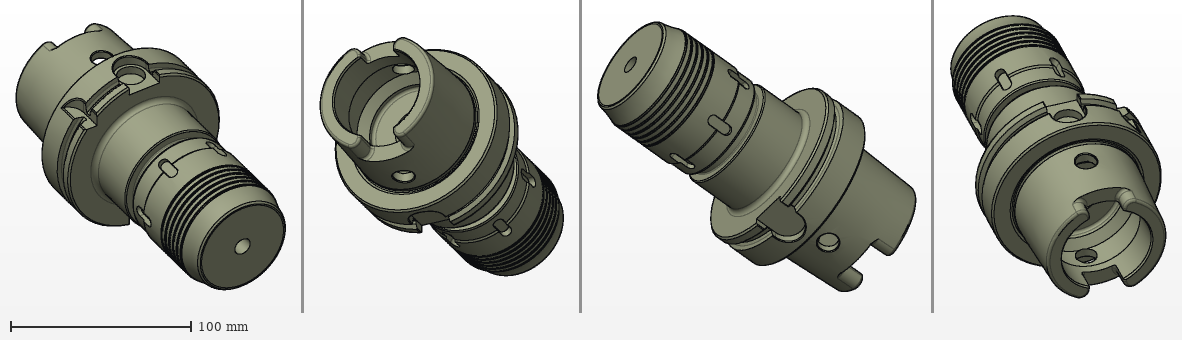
import cadquery as cq
import math

FLANGE_START = 50.0
FLANGE_END = 78.8
TAPER_START_RADIUS = 35.1
TAPER_END_RADIUS = 37.5
TAPER_END = 48.2
RELIEF_RADIUS = 37.0
FACE_RECESS_RADIUS = 39.5
FACE_RECESS_FLOOR_RADIUS = 38.0
FACE_RECESS_DEPTH = 0.9
SHANK_RIM_FILLET = 1.6

CAVITY_MOUTH_DIAMETER = 53.0
CAVITY_DIAMETER = 52.5
CLAMP_GROOVE_DIAMETER = 63.0
CLAMP_GROOVE_START = 20.0
CLAMP_GROOVE_END = 40.7
CAVITY_DEPTH = 50.0
CAVITY_MOUTH_CHAMFER = 0.5
CAVITY_MOUTH_CHAMFER_LENGTH = 1.5
CAVITY_FLOOR_FILLET = 1.8
SOCKET_MOUTH_DIAMETER = 24.8
SOCKET_DIAMETER = 21.0
SOCKET_CONE_DEPTH = 1.8
SOCKET_DEPTH = 10.8
BORE_DIAMETER = 10.0

DRIVE_SLOT_WIDTH = 20.0
DRIVE_SLOT_FLARE = 5.0
DRIVE_SLOT_FILLET = 1.8
TOP_SLOT_DEPTH = 9.9
BOTTOM_SLOT_DEPTH = 14.8
CROSS_HOLE_DIAMETER = 12.0
CROSS_HOLE_X = 35.0
CROSS_HOLE_CHAMFER = 0.5

FLANGE_RADIUS = 50.0
FLANGE_CHAMFER = 1.0
GRIP_GROOVE_RADIUS = 45.7
GRIP_GROOVE_START = 67.0
GRIP_GROOVE_END = 73.3
GRIP_FLOOR_START = 68.4
GRIP_FLOOR_END = 71.3
GRIP_KNEE_RADIUS = 47.5
GRIP_KNEE_START = 67.5
GRIP_KNEE_END = 71.6
KEYWAY_WIDTH = 20.0
KEYWAY_END_X = 64.8
KEYWAY_FLOOR = 44.0
CORNER_NOTCH_OFFSET = 31.3
KEYWAY_CHAMFER = 0.5
CODE_HOLE_DIAMETER = 16.0
CODE_HOLE_DEPTH = 5.0

COLLAR_RADIUS = 32.4
COLLAR_END = 109.8
COLLAR_CHAMFER = 0.7
ROOT_FILLET = 3.0
NECK_RADIUS = 27.0
NECK_FILLET = 0.5

NUT_START = 115.4
NUT_END = 180.0
NUT_REAR_RADIUS = 31.5
NUT_RADIUS = 32.4
NUT_STEP_START = 127.3
NUT_STEP_END = 128.5
NUT_REAR_CHAMFER = 0.5
NUT_REAR_CHAMFER_LENGTH = 1.0
NOSE_START = 166.5
NOSE_MIDDLE_X = 172.6
NOSE_MIDDLE_RADIUS = 30.2
NOSE_END_RADIUS = 29.0
NOSE_CHAMFER = 1.0

WRENCH_SLOT_COUNT = 6
WRENCH_SLOT_LENGTH = 16.2
WRENCH_SLOT_WIDTH = 6.1
WRENCH_SLOT_X = 128.2
WRENCH_SLOT_FLOOR = 28.6

GRIP_RING_COUNT = 6
GRIP_RING_START = 146.3
GRIP_RING_PITCH = 4.0
GRIP_RING_WIDTH = 1.0
GRIP_RING_DEPTH = 0.5

CLEAR = 9.0
TOLERANCE = 0.02


def revolve_about_x(profile):
    """Turn a closed XY profile (X along the axis, Y the radius) about the X axis."""
    return profile.close().revolve(360, (0, 0, 0), (1, 0, 0))


def bar(start, end, radius):
    return cq.Workplane("YZ", origin=(start, 0, 0)).circle(radius).extrude(end - start)


def tapered_bar(start, end, start_radius, end_radius):
    outline = cq.Workplane("XY").moveTo(start, 0).lineTo(start, start_radius).lineTo(end, end_radius)
    return revolve_about_x(outline.lineTo(end, 0))


def edge_radius(edge):
    """Distance of the middle of an edge from the X axis."""
    middle = edge.positionAt(0.5)
    return math.hypot(middle.y, middle.z)


def shank():
    recess_floor = FLANGE_START + FACE_RECESS_DEPTH
    return revolve_about_x(
        cq.Workplane("XY")
        .moveTo(0, 0)
        .lineTo(0, TAPER_START_RADIUS)
        .lineTo(TAPER_END, TAPER_END_RADIUS)
        .lineTo(TAPER_END + (TAPER_END_RADIUS - RELIEF_RADIUS), RELIEF_RADIUS)
        .lineTo(recess_floor, RELIEF_RADIUS)
        .lineTo(recess_floor, 0)
    )


def drive_slot(depth):
    """Cutter for a slot across the wall at the top of the shank's open end."""
    box = cq.Workplane("XY").box(depth + CLEAR, DRIVE_SLOT_WIDTH, FLANGE_RADIUS, centered=(False, True, False))
    return box.translate((-CLEAR, 0, 0))


def is_slot_rim(edge):
    """True where a drive slot wall meets the taper."""
    middle = edge.positionAt(0.5)
    on_wall = abs(abs(middle.y) - DRIVE_SLOT_WIDTH / 2) < TOLERANCE
    return on_wall and 0 < middle.x < BOTTOM_SLOT_DEPTH and edge_radius(edge) > CAVITY_MOUTH_DIAMETER / 2


def is_slot_corner(edge):
    """True where the floor of a drive slot meets the slot wall or its flare."""
    middle = edge.positionAt(0.5)
    on_floor = min(abs(middle.x - TOP_SLOT_DEPTH), abs(middle.x - BOTTOM_SLOT_DEPTH)) < TOLERANCE
    inside_taper = edge_radius(edge) < TAPER_START_RADIUS - TOLERANCE
    return on_floor and inside_taper and abs(middle.y) > DRIVE_SLOT_WIDTH / 2 - TOLERANCE


def cross_hole():
    """Cutter for the hole through both walls of the shank."""
    hole = cq.Workplane("XY", origin=(CROSS_HOLE_X, 0, 0))
    return hole.circle(CROSS_HOLE_DIAMETER / 2).extrude(FLANGE_RADIUS, both=True)


def is_cross_hole_rim(edge):
    """True where the cross hole comes out through the taper."""
    middle = edge.positionAt(0.5)
    near_hole = math.hypot(middle.x - CROSS_HOLE_X, middle.y) < CROSS_HOLE_DIAMETER / 2 + TOLERANCE
    return near_hole and edge.geomType() != "LINE"


def slotted_shank():
    body = shank().cut(drive_slot(TOP_SLOT_DEPTH))
    body = body.cut(drive_slot(BOTTOM_SLOT_DEPTH).rotate((0, 0, 0), (1, 0, 0), 180))
    body = body.edges().filter(is_slot_rim).fillet(DRIVE_SLOT_FLARE)
    body = body.edges().filter(is_slot_corner).fillet(DRIVE_SLOT_FILLET)
    body = body.faces("<X").edges().fillet(SHANK_RIM_FILLET)
    return body.cut(cross_hole()).edges().filter(is_cross_hole_rim).chamfer(CROSS_HOLE_CHAMFER)


def hollow():
    """Cutter for the stepped cavity of the shank and the bore behind it."""
    cavity = bar(-CLEAR, CAVITY_DEPTH, CAVITY_DIAMETER / 2).faces(">X").edges().fillet(CAVITY_FLOOR_FILLET)
    mouth = bar(-CLEAR, CLAMP_GROOVE_START, CAVITY_MOUTH_DIAMETER / 2)
    clamp_groove = bar(CLAMP_GROOVE_START, CLAMP_GROOVE_END, CLAMP_GROOVE_DIAMETER / 2)
    taper_length = (CLAMP_GROOVE_DIAMETER - CAVITY_DIAMETER) / 2
    clamp_groove_taper = tapered_bar(
        CLAMP_GROOVE_END, CLAMP_GROOVE_END + taper_length, CLAMP_GROOVE_DIAMETER / 2, CAVITY_DIAMETER / 2
    )
    mouth_chamfer = tapered_bar(
        0, CAVITY_MOUTH_CHAMFER_LENGTH, CAVITY_MOUTH_DIAMETER / 2 + CAVITY_MOUTH_CHAMFER, CAVITY_MOUTH_DIAMETER / 2
    )
    socket = tapered_bar(
        CAVITY_DEPTH, CAVITY_DEPTH + SOCKET_CONE_DEPTH, SOCKET_MOUTH_DIAMETER / 2, SOCKET_DIAMETER / 2
    )
    socket = socket.union(bar(CAVITY_DEPTH, CAVITY_DEPTH + SOCKET_DEPTH, SOCKET_DIAMETER / 2))
    bore = bar(0, NUT_END + CLEAR, BORE_DIAMETER / 2)
    cavity = cavity.union(mouth).union(mouth_chamfer).union(clamp_groove).union(clamp_groove_taper)
    return cavity.union(socket).union(bore)


def flange():
    body = bar(FLANGE_START, FLANGE_END, FLANGE_RADIUS)
    for cutter in (keyway(KEYWAY_FLOOR, 0), keyway(KEYWAY_FLOOR, 0).mirror("XY"), corner_notch()):
        body = body.cut(cutter)
    body = body.edges().filter(is_keyway_rim).chamfer(KEYWAY_CHAMFER)
    return body.intersect(flange_envelope())


def keyway(floor, centre_y):
    """Cutter for a keyway that is round at one end and open toward +X, with its floor facing +Z."""
    length = FLANGE_END - KEYWAY_END_X + CLEAR
    block = cq.Workplane("XY", origin=(KEYWAY_END_X, centre_y, floor))
    height = FLANGE_RADIUS
    straight = block.center(length / 2, 0).rect(length, KEYWAY_WIDTH).extrude(height)
    round_end = (
        cq.Workplane("XY", origin=(KEYWAY_END_X, centre_y, floor)).circle(KEYWAY_WIDTH / 2).extrude(height)
    )
    return straight.union(round_end)


def corner_notch():
    return keyway(CORNER_NOTCH_OFFSET, -CORNER_NOTCH_OFFSET - KEYWAY_WIDTH / 2)


def is_keyway_rim(edge):
    """True for edges on the flange cylinder that are not on its end faces."""
    middle_x = edge.positionAt(0.5).x
    on_cylinder = abs(edge_radius(edge) - FLANGE_RADIUS) < TOLERANCE
    return on_cylinder and FLANGE_START + TOLERANCE < middle_x < FLANGE_END - TOLERANCE


def face_recess():
    """Cutter for the ring-shaped recess in the flange face around the taper root."""
    end = FLANGE_START + FACE_RECESS_DEPTH
    disc = tapered_bar(FLANGE_START, end, FACE_RECESS_RADIUS, FACE_RECESS_FLOOR_RADIUS)
    return disc.cut(bar(FLANGE_START, end, RELIEF_RADIUS))


def flange_envelope():
    """The flange's turned outline: chamfered rims and the gripper groove."""
    return revolve_about_x(
        cq.Workplane("XY")
        .moveTo(FLANGE_START, 0)
        .lineTo(FLANGE_START, FLANGE_RADIUS - FLANGE_CHAMFER)
        .lineTo(FLANGE_START + FLANGE_CHAMFER, FLANGE_RADIUS)
        .lineTo(GRIP_GROOVE_START, FLANGE_RADIUS)
        .lineTo(GRIP_KNEE_START, GRIP_KNEE_RADIUS)
        .lineTo(GRIP_FLOOR_START, GRIP_GROOVE_RADIUS)
        .lineTo(GRIP_FLOOR_END, GRIP_GROOVE_RADIUS)
        .lineTo(GRIP_KNEE_END, GRIP_KNEE_RADIUS)
        .lineTo(GRIP_GROOVE_END, FLANGE_RADIUS)
        .lineTo(FLANGE_END - FLANGE_CHAMFER, FLANGE_RADIUS)
        .lineTo(FLANGE_END, FLANGE_RADIUS - FLANGE_CHAMFER)
        .lineTo(FLANGE_END, 0)
    )


def code_hole():
    """Cutter for the blind hole in the floor of the top keyway."""
    hole = cq.Workplane("XY", origin=(KEYWAY_END_X, 0, KEYWAY_FLOOR - CODE_HOLE_DEPTH))
    return hole.circle(CODE_HOLE_DIAMETER / 2).extrude(CODE_HOLE_DEPTH + CLEAR)


def collar_and_neck():
    """The cylinder behind the flange, and the thinner spigot that carries the nut."""
    return revolve_about_x(
        cq.Workplane("XY")
        .moveTo(FLANGE_END, 0)
        .lineTo(FLANGE_END, COLLAR_RADIUS + ROOT_FILLET)
        .radiusArc((FLANGE_END + ROOT_FILLET, COLLAR_RADIUS), -ROOT_FILLET)
        .lineTo(COLLAR_END - COLLAR_CHAMFER, COLLAR_RADIUS)
        .lineTo(COLLAR_END, COLLAR_RADIUS - COLLAR_CHAMFER)
        .lineTo(COLLAR_END, NECK_RADIUS + NECK_FILLET)
        .radiusArc((COLLAR_END + NECK_FILLET, NECK_RADIUS), -NECK_FILLET)
        .lineTo(NUT_END, NECK_RADIUS)
        .lineTo(NUT_END, 0)
    )


def build_holder():
    flange_with_recess = flange().cut(face_recess())
    body = flange_with_recess.union(slotted_shank()).union(collar_and_neck())
    for cutter in (code_hole(), hollow()):
        body = body.cut(cutter)
    return body


def nut_blank():
    return revolve_about_x(
        cq.Workplane("XY")
        .moveTo(NUT_START, NECK_RADIUS)
        .lineTo(NUT_START, NUT_REAR_RADIUS - NUT_REAR_CHAMFER)
        .lineTo(NUT_START + NUT_REAR_CHAMFER_LENGTH, NUT_REAR_RADIUS)
        .lineTo(NUT_STEP_START, NUT_REAR_RADIUS)
        .lineTo(NUT_STEP_END, NUT_RADIUS)
        .lineTo(NOSE_START, NUT_RADIUS)
        .threePointArc((NOSE_MIDDLE_X, NOSE_MIDDLE_RADIUS), (NUT_END - NOSE_CHAMFER, NOSE_END_RADIUS))
        .lineTo(NUT_END, NOSE_END_RADIUS - NOSE_CHAMFER)
        .lineTo(NUT_END, NECK_RADIUS)
    )


def wrench_slot():
    """Cutter for one flat-bottomed wrench slot at the -Y side of the nut."""
    slot = cq.Workplane("XZ", origin=(WRENCH_SLOT_X, -WRENCH_SLOT_FLOOR, 0))
    return slot.slot2D(WRENCH_SLOT_LENGTH, WRENCH_SLOT_WIDTH).extrude(CLEAR)


def grip_ring(start):
    """Cutter for one shallow groove around the nut."""
    end = start + GRIP_RING_WIDTH
    return bar(start, end, NUT_RADIUS + CLEAR).cut(bar(start, end, NUT_RADIUS - GRIP_RING_DEPTH))


def build_nut():
    body = nut_blank()
    for index in range(WRENCH_SLOT_COUNT):
        angle = index * 360 / WRENCH_SLOT_COUNT
        body = body.cut(wrench_slot().rotate((0, 0, 0), (1, 0, 0), angle))
    for index in range(GRIP_RING_COUNT):
        body = body.cut(grip_ring(GRIP_RING_START + index * GRIP_RING_PITCH))
    return body


holder = build_holder()
nut = build_nut()
result = cq.Compound.makeCompound([holder.val(), nut.val()])